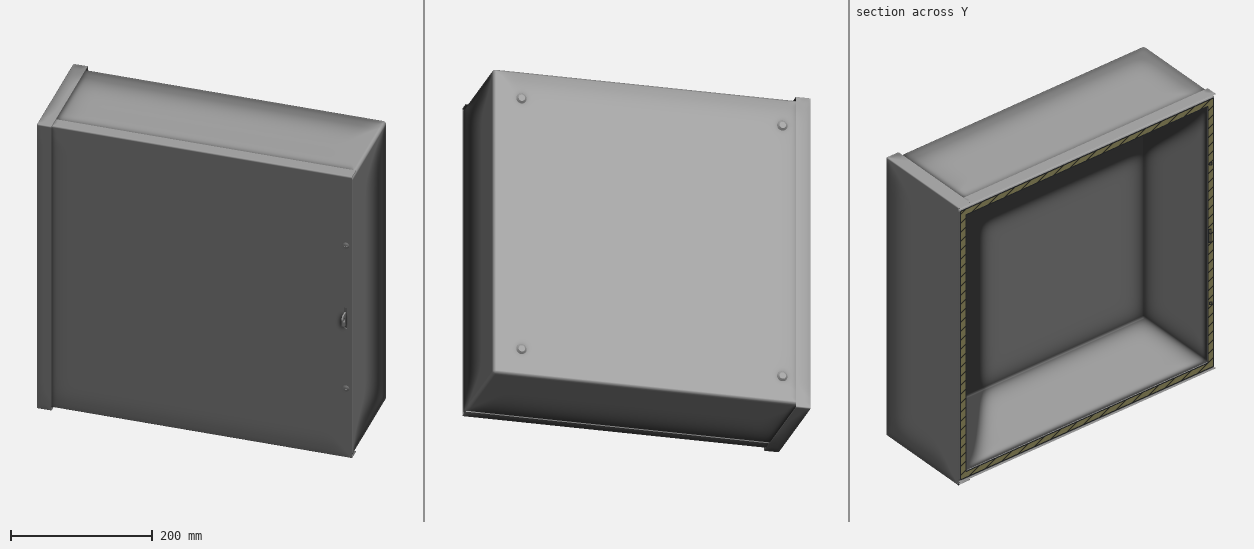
import cadquery as cq

sheet = 1.5
end_x = 232.5
cut_margin = 4.5

cap_half_height = 236.5
cap_width = 21.8
cap_front = -81.0
cap_back = 88.7
cap_bend = 2.0

cover_half_height = 234.0
cover_front = -75.0
cover_inner = cover_front + sheet
cover_flange = 19.0
cover_bend = 2.5
cover_end_gap = 2.5

flange_gap = 1.0
body_half_height = cover_half_height - sheet - flange_gap
body_left = -end_x + sheet
body_front = cover_inner
body_back = cap_back - sheet
body_bend = 4.5
lip_width = 13.5
lip_inner = body_front + sheet

boss_x = 190.5
boss_z = boss_x
boss_base_diameter = 15.0
boss_top_diameter = 9.5
boss_end = 89.65

screw_x = 223.8
screw_z = 118.7
head_diameter = 10.0
head_height = 1.5
shank_diameter = 3.75
drive_length = 5.5
drive_width = 2.0
drive_depth = 1.0

hasp_x = 222.5
hasp_thickness = 2.0
hasp_tip = -89.65
hasp_top = 7.0
hasp_top_corner = 4.3
hasp_bottom = -13.5
hasp_tip_bottom = -7.5
hasp_taper_start = -80.0
hasp_hole_diameter = 7.5
hasp_hole_y = -81.0
hasp_hole_z = -2.0
slot_x = 223.0
slot_width = 4.3
slot_top = 15.0
slot_bottom = -19.0


def block(x_start, x_end, y_start, y_end, half_height):
    """Box between two X and two Y limits, centred on Z = 0."""
    corner = cq.Vector(x_start, y_start, -half_height)
    return cq.Workplane(cq.Solid.makeBox(x_end - x_start, y_end - y_start, 2 * half_height, corner))


def screw_bar(z, y_start, y_end):
    """Round bar along Y with the screw's shank diameter."""
    start = cq.Vector(screw_x, y_start, z)
    return cq.Workplane(cq.Solid.makeCylinder(shank_diameter / 2, y_end - y_start, start, cq.Vector(0, 1, 0)))


def make_boss(x, z):
    """Raised mounting pad that tapers away from the back wall."""
    return cq.Workplane(cq.Solid.makeCone(
        boss_base_diameter / 2,
        boss_top_diameter / 2,
        boss_end - body_back,
        cq.Vector(x, body_back, z),
        cq.Vector(0, 1, 0),
    ))


def make_hasp():
    """Flat plate along X with a tapered tip and a padlock hole."""
    outline = [
        (lip_inner, hasp_top),
        (hasp_tip + hasp_top_corner, hasp_top),
        (hasp_tip, hasp_top - hasp_top_corner),
        (hasp_tip, hasp_tip_bottom),
        (hasp_taper_start, hasp_bottom),
        (lip_inner, hasp_bottom),
    ]
    side = cq.Workplane("YZ", origin=(hasp_x - hasp_thickness / 2, 0, 0))
    plate = side.polyline(outline).close().extrude(hasp_thickness)
    hole = side.center(hasp_hole_y, hasp_hole_z).circle(hasp_hole_diameter / 2).extrude(hasp_thickness)
    return plate.cut(hole)


def make_body():
    """Hollow box with rounded bends, a lipped opening at the front and bosses on the back."""
    outer = block(body_left, end_x, body_front, body_back, body_half_height)
    outer = outer.edges().fillet(body_bend)
    inner = block(body_left + sheet, end_x - sheet, lip_inner, body_back - sheet, body_half_height - sheet)
    inner = inner.edges().fillet(body_bend - sheet)
    opening = block(
        body_left + lip_width,
        end_x - lip_width,
        body_front - cut_margin,
        lip_inner + cut_margin,
        body_half_height - lip_width,
    )
    shell = outer.cut(inner).cut(opening)
    for x in (-boss_x, boss_x):
        for z in (-boss_z, boss_z):
            shell = shell.union(make_boss(x, z))
    for z in (-screw_z, screw_z):
        shell = shell.cut(screw_bar(z, body_front, lip_inner))
    return shell.cut(make_hasp())


def make_cap():
    """Tray that opens toward +X, with every bend rounded."""
    rim_x = -end_x + cap_width
    outer = block(-end_x, rim_x, cap_front, cap_back, cap_half_height)
    outer = outer.edges("|X or <X").fillet(cap_bend)
    inner = block(-end_x + sheet, rim_x, cap_front + sheet, cap_back - sheet, cap_half_height - sheet)
    inner = inner.edges("|X or <X").fillet(cap_bend - sheet)
    return outer.cut(inner)


def make_cover():
    """Front plate with a flange along its top and bottom edges, screw holes and a hasp slot."""
    left = body_left + cover_end_gap
    flange_end = cover_front + cover_flange
    outer = block(left, end_x, cover_front, flange_end, cover_half_height)
    outer = outer.faces("<Y").edges("|X").fillet(cover_bend)
    inner = block(left, end_x, cover_inner, flange_end, cover_half_height - sheet)
    inner = inner.faces("<Y").edges("|X").fillet(cover_bend - sheet)
    slot_height = slot_top - slot_bottom
    slot = block(slot_x - slot_width / 2, slot_x + slot_width / 2, cover_front, cover_inner, slot_height / 2)
    slot = slot.translate((0, 0, (slot_top + slot_bottom) / 2))
    plate = outer.cut(inner).cut(slot)
    for z in (-screw_z, screw_z):
        plate = plate.cut(screw_bar(z, cover_front, cover_inner))
    return plate


def make_screw(z):
    """Domed head with a straight drive slot, on a shank through the cover and the body lip."""
    head_top = cover_front - head_height
    radius = head_diameter / 2
    sphere_radius = (radius ** 2 + head_height ** 2) / (2 * head_height)
    half_radius = radius / 2
    half_depth = head_top + sphere_radius - (sphere_radius ** 2 - half_radius ** 2) ** 0.5
    head = (
        cq.Workplane("XY")
        .moveTo(0, cover_front)
        .lineTo(radius, cover_front)
        .threePointArc((half_radius, half_depth), (0, head_top))
        .close()
        .revolve(360, (0, 0, 0), (0, 1, 0))
    )
    drive = block(-drive_length / 2, drive_length / 2, head_top, head_top + drive_depth, drive_width / 2)
    head = head.cut(drive).translate((screw_x, 0, z))
    return head.union(screw_bar(z, cover_front, lip_inner))


body = make_body()
cap = make_cap()
cover = make_cover()
hasp = make_hasp()
screws = [make_screw(z) for z in (-screw_z, screw_z)]

result = cq.Compound.makeCompound(
    [body.val(), cap.val(), cover.val(), hasp.val(), *[screw.val() for screw in screws]]
)